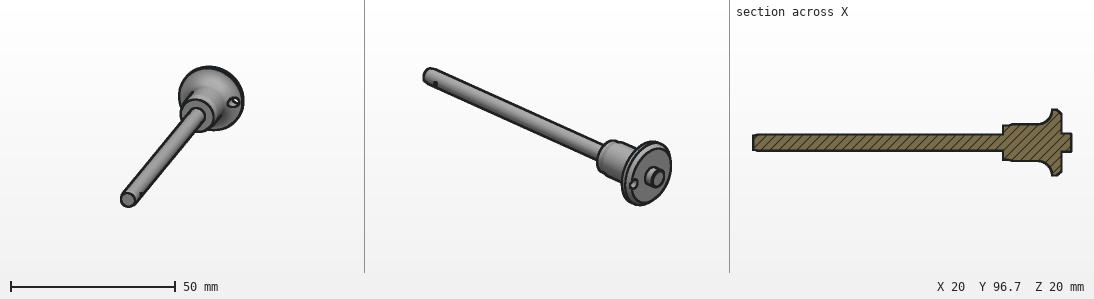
import cadquery as cq

total_length = 96.7

button_radius = 2.8
button_length = 3.0
button_chamfer = 0.3

flange_diameter = 20.0
flange_radius = flange_diameter / 2
flange_top_radius = 8.7
flange_chamfer_length = 1.45
rim_length = 1.45
body_radius = 5.6
body_length = 7.6
collar_radius = 5.2
collar_length = 1.45
collar_taper_length = 1.45

lanyard_hole_diameter = 3.0
lanyard_hole_offset = 7.5

shank_radius = 2.5
tip_radius = 2.2
tip_length = 1.5

ball_radius = 0.7
ball_projection = 0.3
ball_from_tip = 5.4

flare_radius = flange_radius - body_radius
body_start = collar_length + collar_taper_length
flare_start = body_start + body_length
rim_start = flare_start + flare_radius
rim_end = rim_start + rim_length
flange_top = rim_end + flange_chamfer_length
button_top = flange_top + button_length
tip_end = button_top - total_length


def revolved_pin():
    """Button, flared handle and shank as one revolved outline."""
    outline = (
        cq.Workplane("XY")
        .moveTo(0, tip_end)
        .lineTo(tip_radius, tip_end)
        .lineTo(shank_radius, tip_end + tip_length)
        .lineTo(shank_radius, 0)
        .lineTo(collar_radius, 0)
        .lineTo(collar_radius, collar_length)
        .lineTo(body_radius, body_start)
        .lineTo(body_radius, flare_start)
        .radiusArc((flange_radius, rim_start), flare_radius)
        .lineTo(flange_radius, rim_end)
        .lineTo(flange_top_radius, flange_top)
        .lineTo(button_radius, flange_top)
        .lineTo(button_radius, button_top - button_chamfer)
        .lineTo(button_radius - button_chamfer, button_top)
        .lineTo(0, button_top)
        .close()
    )
    return outline.revolve(360, (0, 0, 0), (0, 1, 0))


def locking_ball(side):
    """Ball set into the +X (side = 1) or -X (side = -1) flank of the shank."""
    center_x = side * (shank_radius + ball_projection - ball_radius)
    return cq.Workplane("XY").sphere(ball_radius).translate((center_x, tip_end + ball_from_tip, 0))


def lanyard_hole():
    """Cutter parallel to the pin axis, from the body end to the flange top."""
    return (
        cq.Workplane("XZ", origin=(lanyard_hole_offset, flange_top, 0))
        .circle(lanyard_hole_diameter / 2)
        .extrude(flange_top - body_start)
    )


result = revolved_pin().cut(lanyard_hole())
for side in (-1, 1):
    result = result.union(locking_ball(side))